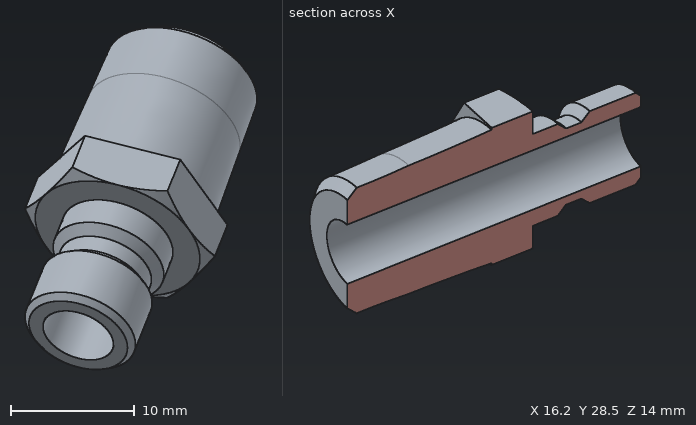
import cadquery as cq
import math

length = 28.5
bore_radius = 3.0

plug_radius = 4.7
tip_chamfer = 0.5
groove_radius = 3.9
groove_start = 5.0
groove_end = 8.07
groove_slope = plug_radius - groove_radius

hex_across_flats = 14.0
hex_across_corners = hex_across_flats / math.cos(math.radians(30))
hex_start = 10.5
hex_end = 14.5
hex_chamfer_angle = 30.0

thread_base_radius = 6.8
gauge_radius = 6.55
gauge_position = 22.55
thread_end_radius = 6.4
end_chamfer = 0.9
end_face_radius = 5.53


def turned(profile):
    """Revolve (radius, y) points about the Y axis."""
    return cq.Workplane("XY").polyline(profile).close().revolve(360, (0, 0), (0, 1))


def make_plug():
    return turned([
        (0, 0),
        (plug_radius - tip_chamfer, 0),
        (plug_radius, tip_chamfer),
        (plug_radius, groove_start),
        (groove_radius, groove_start + groove_slope),
        (groove_radius, groove_end - groove_slope),
        (plug_radius, groove_end),
        (plug_radius, hex_start),
        (0, hex_start),
    ])


def make_hexagon():
    thickness = hex_end - hex_start
    prism = (
        cq.Workplane("XZ", origin=(0, hex_start, 0))
        .polygon(6, hex_across_corners)
        .extrude(-thickness)
    )
    flat_radius = hex_across_flats / 2
    corner_radius = hex_across_corners / 2
    bevel_depth = (corner_radius - flat_radius) * math.tan(math.radians(hex_chamfer_angle))
    envelope = turned([
        (0, hex_start),
        (flat_radius, hex_start),
        (corner_radius, hex_start + bevel_depth),
        (corner_radius, hex_end),
        (0, hex_end),
    ])
    return prism.intersect(envelope)


def make_thread():
    return turned([
        (0, hex_end),
        (thread_base_radius, hex_end),
        (gauge_radius, gauge_position),
        (thread_end_radius, length - end_chamfer),
        (end_face_radius, length),
        (0, length),
    ])


bore = cq.Workplane("XZ").circle(bore_radius).extrude(-length)
result = make_plug().union(make_hexagon()).union(make_thread()).cut(bore)